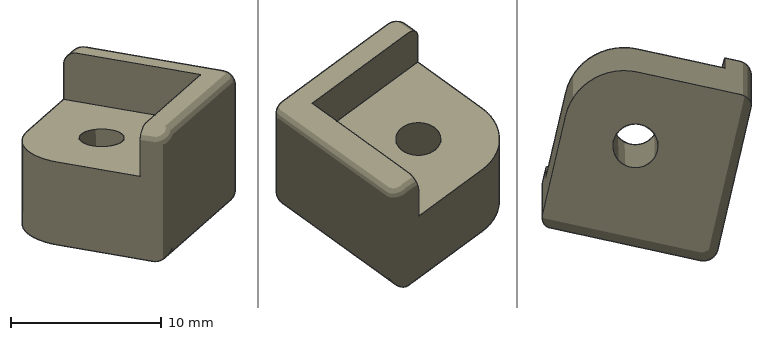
import cadquery as cq

side = 12.0
height = 9.5

wall_thickness = 2.0
floor_height = 6.0
seat_side = side - wall_thickness
wall_height = height - floor_height

open_corner_radius = 4.0
edge_radius = 1.0

hole_diameter = 3.0
hole_center = seat_side / 2


def rounded_block():
    """Square block with every edge of its +X, +Y and top faces rounded."""
    block = cq.Workplane("XY").box(side, side, height, centered=False)
    return block.faces(">X or >Y or >Z").edges().fillet(edge_radius)


def seat_pocket():
    """Square recess above the floor, open towards -X and -Y."""
    floor_plane = cq.Workplane("XY").workplane(offset=floor_height)
    return floor_plane.rect(seat_side, seat_side, centered=False).extrude(wall_height)


def round_open_corner(body):
    """Round the vertical floor edge on the Z axis, opposite the L-shaped wall's corner."""
    edge_middle = (0, 0, floor_height / 2)
    corner_edge = cq.selectors.NearestToPointSelector(edge_middle)
    return body.edges(corner_edge).fillet(open_corner_radius)


def through_hole():
    """Cylinder through the full thickness of the floor."""
    hole_axis = cq.Workplane("XY").center(hole_center, hole_center)
    return hole_axis.circle(hole_diameter / 2).extrude(floor_height)


seat_body = rounded_block().cut(seat_pocket())
result = round_open_corner(seat_body).cut(through_hole())